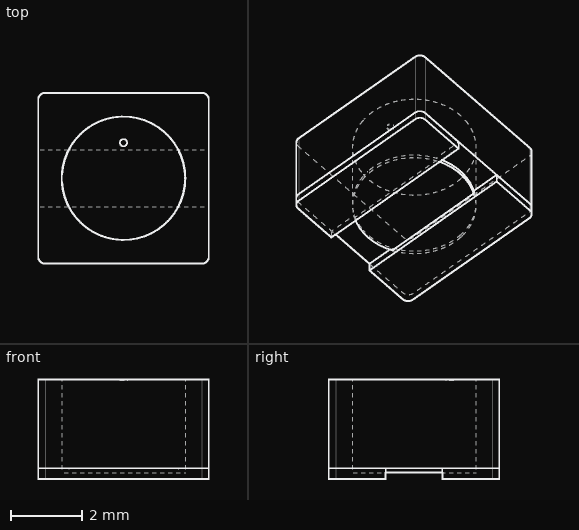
import cadquery as cq

side = 4.8
height = 2.8
corner_radius = 0.2

terminal_height = 0.3
channel_width = 1.6
terminal_width = (side - channel_width) / 2

core_diameter = 3.46
bore_diameter = 3.47
core_bottom = 0.18
core_height = height - core_bottom

dot_diameter = 0.2
dot_depth = 0.03
dot_offset = 1.0


def rounded_block(bottom, top):
    """Square block with rounded vertical corners, between two heights."""
    return (
        cq.Workplane("XY")
        .workplane(offset=bottom)
        .rect(side, side)
        .extrude(top - bottom)
        .edges("|Z")
        .fillet(corner_radius)
    )


def core_space():
    """Cylindrical space that holds the core, with its radial clearance."""
    return (
        cq.Workplane("XY")
        .workplane(offset=core_bottom)
        .circle(bore_diameter / 2)
        .extrude(core_height)
    )


def make_shell():
    """Square outer shell with the core bore through it."""
    return rounded_block(terminal_height, height).cut(core_space())


def make_core():
    """Cylindrical core, flush with the shell top, with the index dot sunk into it."""
    body = (
        cq.Workplane("XY")
        .workplane(offset=core_bottom)
        .circle(core_diameter / 2)
        .extrude(core_height)
    )
    dot = (
        cq.Workplane("XY")
        .workplane(offset=height - dot_depth)
        .center(0, dot_offset)
        .circle(dot_diameter / 2)
        .extrude(dot_depth)
    )
    return body.cut(dot)


def make_terminal(y_sign):
    """Terminal strip on the -Y or +Y side, recessed for the lower end of the core."""
    strip_center_y = y_sign * (channel_width + terminal_width) / 2
    strip = (
        cq.Workplane("XY")
        .center(0, strip_center_y)
        .rect(side, terminal_width)
        .extrude(terminal_height)
    )
    return rounded_block(0, terminal_height).intersect(strip).cut(core_space())


shell = make_shell()
core = make_core()
terminals = [make_terminal(y_sign) for y_sign in (-1, 1)]

bodies = [shell, core, *terminals]

result = cq.Compound.makeCompound([body.solids().val() for body in bodies])